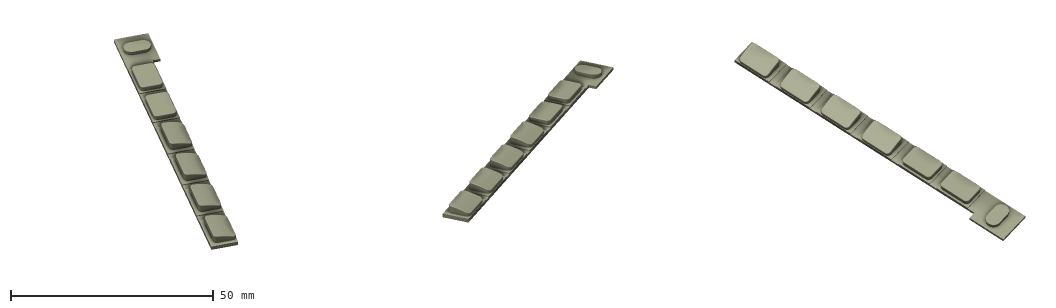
import cadquery as cq

TOTAL_LENGTH = 85.6
STRIP_WIDTH = 6.9
TAB_LENGTH = 10.6
TAB_WIDTH = 8.9
BASE_THICKNESS = 0.8

PAD_TOP = 1.0
FLAT_PAD_LENGTH = 9.85
FLAT_GROOVE_WIDTH = 2.05
FLAT_KEY_COUNT = 2
SLOPED_PAD_LENGTH = 10.8
SLOPED_GROOVE_WIDTH = 2.0
SLOPED_KEY_COUNT = 4

KEY_LENGTH = 8.8
KEY_WIDTH = 5.9
KEY_CORNER_RADIUS = 1.0
KEY_EDGE_RADIUS = 0.21
FLAT_KEY_TOP = 2.3
SLOPED_KEY_FRONT = 0.9
SLOPED_KEY_PEAK = 3.2
SLOPED_KEY_BACK = 1.9
SLOPED_KEY_CROWN = 0.21

BUTTON_LENGTH = 6.9
BUTTON_WIDTH = 3.85
BUTTON_TOP = 1.8

FLAT_PITCH = FLAT_PAD_LENGTH + FLAT_GROOVE_WIDTH
FLAT_START = TAB_LENGTH + FLAT_GROOVE_WIDTH
SLOPED_PITCH = SLOPED_PAD_LENGTH + SLOPED_GROOVE_WIDTH
SLOPED_START = TOTAL_LENGTH + SLOPED_GROOVE_WIDTH - SLOPED_KEY_COUNT * SLOPED_PITCH


def block(x_start, length, width, top):
    """Box standing on the underside plane, with its front face at Y = 0."""
    return cq.Workplane("XY").box(length, width, top, centered=False).translate((x_start, 0, 0))


def key_blank(x_center, y_center, top):
    """Rectangular key with rounded upright corners, standing on the underside plane."""
    return (
        cq.Workplane("XY")
        .center(x_center, y_center)
        .rect(KEY_LENGTH, KEY_WIDTH)
        .extrude(top)
        .edges("|Z")
        .fillet(KEY_CORNER_RADIUS)
    )


def flat_key(x_center):
    """Low key with a level top and a rounded rim."""
    return key_blank(x_center, STRIP_WIDTH / 2, FLAT_KEY_TOP).faces(">Z").edges().fillet(KEY_EDGE_RADIUS)


def sloped_key(x_center):
    """Tall key whose gently crowned top falls from the front to the back."""
    y_front = SLOPED_KEY_FRONT
    y_middle = y_front + KEY_WIDTH / 2
    y_back = y_front + KEY_WIDTH
    z_middle = (SLOPED_KEY_PEAK + SLOPED_KEY_BACK) / 2 + SLOPED_KEY_CROWN
    crowned_wedge = (
        cq.Workplane("YZ")
        .moveTo(y_front, 0)
        .lineTo(y_front, SLOPED_KEY_PEAK)
        .threePointArc((y_middle, z_middle), (y_back, SLOPED_KEY_BACK))
        .lineTo(y_back, 0)
        .close()
        .extrude(KEY_LENGTH)
        .translate((x_center - KEY_LENGTH / 2, 0, 0))
    )
    key = key_blank(x_center, y_middle, SLOPED_KEY_PEAK).intersect(crowned_wedge)
    return key.faces("not(|X or |Y or |Z)").faces(">Z").edges().fillet(KEY_EDGE_RADIUS)


def oval_button():
    """Round-ended button in the middle of the tab, long across the strip."""
    return (
        cq.Workplane("XY")
        .center(TAB_LENGTH / 2, TAB_WIDTH / 2)
        .slot2D(BUTTON_LENGTH, BUTTON_WIDTH, 90)
        .extrude(BUTTON_TOP)
    )


result = block(0, TOTAL_LENGTH, STRIP_WIDTH, BASE_THICKNESS)
result = result.union(block(0, TAB_LENGTH, TAB_WIDTH, BASE_THICKNESS))
result = result.union(oval_button())

for index in range(FLAT_KEY_COUNT):
    pad_start = FLAT_START + index * FLAT_PITCH
    result = result.union(block(pad_start, FLAT_PAD_LENGTH, STRIP_WIDTH, PAD_TOP))
    result = result.union(flat_key(pad_start + FLAT_PAD_LENGTH / 2))

for index in range(SLOPED_KEY_COUNT):
    pad_start = SLOPED_START + index * SLOPED_PITCH
    result = result.union(block(pad_start, SLOPED_PAD_LENGTH, STRIP_WIDTH, PAD_TOP))
    result = result.union(sloped_key(pad_start + SLOPED_PAD_LENGTH / 2))